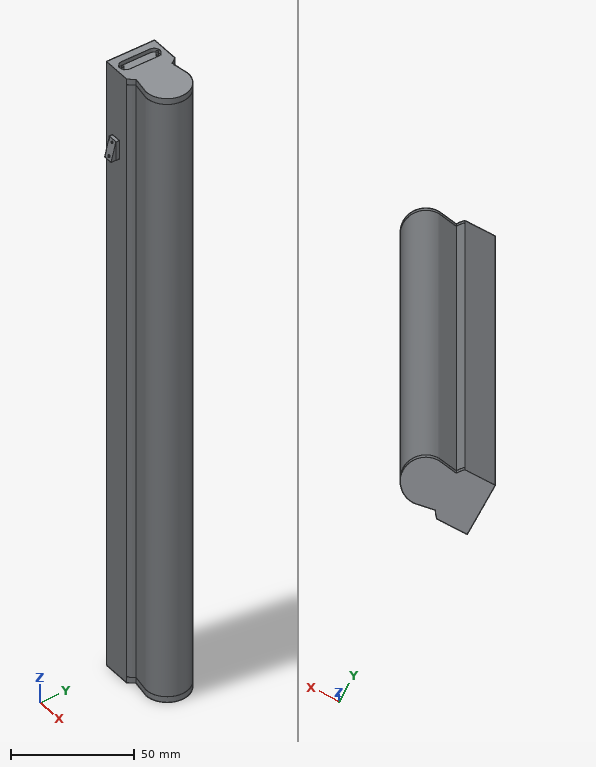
import cadquery as cq
import math

length = 313.0
total_width = 36.0
base_half = 12.0
end_cap = 3.0

shoulder_x = 14.1
bevel_slope = math.radians(49)
bevel_end_x = 15.6
bevel_end_y = base_half - (bevel_end_x - shoulder_x) * math.tan(bevel_slope)
bulb_radius = 10.45
bulb_x = total_width - bulb_radius
blend_radius = 5.0
neck_slope = math.radians(9.3)
neck_start_x = 16.4
neck_end_x = bulb_x - blend_radius * math.sin(neck_slope)
neck_end_y = bulb_radius - blend_radius * (1 - math.cos(neck_slope))
neck_start_y = neck_end_y - (neck_end_x - neck_start_x) * math.tan(neck_slope)
blend_mid_x = bulb_x - blend_radius * math.sin(neck_slope / 2)
blend_mid_y = bulb_radius - blend_radius * (1 - math.cos(neck_slope / 2))

fitting_x = 6.6
socket_width = 5.8
socket_length = 19.8
socket_depth = 2.0
pin_diameter = 1.0
pin_spacing = 17.2

switch_width = 4.8
switch_height = 9.6
switch_top = length - 35.2
switch_bottom = switch_top - switch_height
switch_rise = 4.0
frame_rise = 1.6
rocker_inset = 0.15
rocker_width = switch_width - 2 * rocker_inset
rocker_rise = switch_rise - frame_rise

dimple_depth = 0.3
upper_dimple_diameter = 0.9
lower_dimple_diameter = 1.1
dimple_inset = 1.6
upper_dimple_z = switch_top - dimple_inset
lower_dimple_z = switch_bottom + dimple_inset


def make_profile():
    """The lamp's full cross-section along its whole length."""
    return (
        cq.Workplane("XY")
        .moveTo(0, -base_half)
        .lineTo(shoulder_x, -base_half)
        .lineTo(bevel_end_x, -bevel_end_y)
        .lineTo(neck_start_x, -neck_start_y)
        .lineTo(neck_end_x, -neck_end_y)
        .threePointArc((blend_mid_x, -blend_mid_y), (bulb_x, -bulb_radius))
        .threePointArc((total_width, 0), (bulb_x, bulb_radius))
        .threePointArc((blend_mid_x, blend_mid_y), (neck_end_x, neck_end_y))
        .lineTo(neck_start_x, neck_start_y)
        .lineTo(bevel_end_x, bevel_end_y)
        .lineTo(shoulder_x, base_half)
        .lineTo(0, base_half)
        .close()
        .extrude(length)
    )


def make_lens():
    """The part of the profile in front of the base and between the two end walls."""
    space = cq.Workplane("XY", origin=(shoulder_x, 0, end_cap)).box(
        total_width - shoulder_x, 2 * base_half, length - 2 * end_cap, centered=(False, True, False)
    )
    return make_profile().intersect(space)


def make_socket():
    """Round-ended recess with a contact pin standing near each end."""
    floor = cq.Workplane("XY", origin=(fitting_x, 0, length - socket_depth))
    recess = floor.slot2D(socket_length, socket_width, 90).extrude(socket_depth)
    pin_places = [(0, -pin_spacing / 2), (0, pin_spacing / 2)]
    pins = floor.pushPoints(pin_places).circle(pin_diameter / 2).extrude(socket_depth)
    return recess.cut(pins)


def make_dimple(z, diameter):
    """Cutter for a dimple at height z, reaching out past the rocker's face."""
    face_rise = frame_rise + rocker_rise * (switch_top - z) / switch_height
    floor_y = -base_half - face_rise + dimple_depth
    return (
        cq.Workplane("XZ", origin=(fitting_x, floor_y, z)).circle(diameter / 2).extrude(switch_rise)
    )


def make_switch():
    """Rectangular frame with a slightly narrower wedge-shaped rocker on it."""
    middle = cq.Workplane("YZ", origin=(fitting_x, 0, 0))
    frame_y = -base_half - frame_rise
    frame = (
        middle.moveTo(-base_half, switch_bottom)
        .lineTo(frame_y, switch_bottom)
        .lineTo(frame_y, switch_top)
        .lineTo(-base_half, switch_top)
        .close()
        .extrude(switch_width / 2, both=True)
    )
    rocker = (
        middle.moveTo(frame_y, switch_bottom)
        .lineTo(frame_y - rocker_rise, switch_bottom)
        .lineTo(frame_y, switch_top)
        .close()
        .extrude(rocker_width / 2, both=True)
    )
    switch = frame.union(rocker)
    switch = switch.cut(make_dimple(upper_dimple_z, upper_dimple_diameter))
    return switch.cut(make_dimple(lower_dimple_z, lower_dimple_diameter))


def make_housing():
    """Base with both end walls and the switch, recessed for the lens and the socket."""
    return make_profile().cut(make_lens()).cut(make_socket()).union(make_switch())


housing = make_housing()
lens = make_lens()

result = cq.Compound.makeCompound([housing.val(), lens.val()])